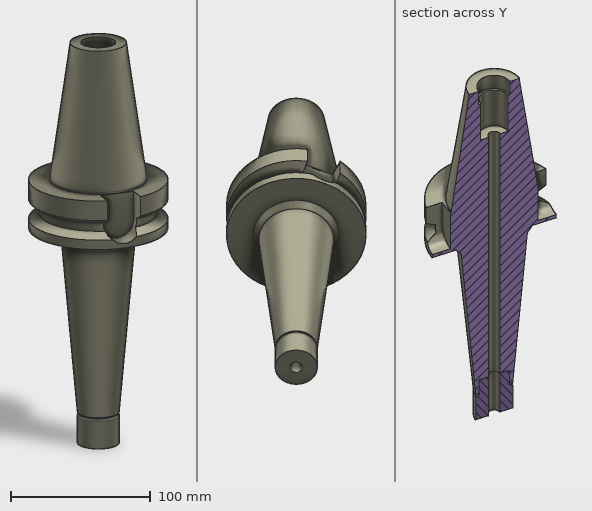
import cadquery as cq

TOTAL_HEIGHT = 301.8
GAUGE_Z = 200.0
FLANGE_TOP_Z = 198.5
GROOVE_CENTER_Z = 176.5
FLANGE_BOTTOM_Z = 162.0
COLLAR_HEIGHT = 5.0
NOSE_HEIGHT = 22.5
NOSE_GAP = 1.0

TAPER_SMALL_RADIUS = 20.2
TAPER_LARGE_RADIUS = 34.7
FLANGE_RADIUS = 100.0 / 2
GROOVE_RADIUS = 42.5
COLLAR_RADIUS = 30.8
ARBOR_TOP_RADIUS = 27.0
NOSE_RADIUS = 15.0
NOSE_CHAMFER_HEIGHT = 1.8
NOSE_CHAMFER_WIDTH = 0.3

GROOVE_FLOOR_WIDTH = 6.3
GROOVE_MOUTH_WIDTH = 14.8

SLOT_WIDTH = 25.7
SLOT_FLOOR_X = 35.3
SLOT_BOTTOM_Z = 165.5

STUB_RADIUS = 12.0
STUB_LENGTH = 12.0

BORE_RADIUS = 12.5
BORE_DEPTH = 12.0
BORE_STEP_RADIUS = 11.0
BORE_STEP_DEPTH = 45.3
COOLANT_RADIUS = 4.5

HOLDER_BOTTOM_Z = NOSE_HEIGHT + NOSE_GAP
STUB_TOP_Z = HOLDER_BOTTOM_Z + STUB_LENGTH


def upright_cylinder(radius, bottom_z, top_z):
    """Cylinder on the spindle axis between two heights."""
    return cq.Workplane("XY").workplane(offset=bottom_z).circle(radius).extrude(top_z - bottom_z)


def make_holder_blank():
    """Turned outside of the holder: arbor, gripper flange and spindle taper."""
    floor_half = GROOVE_FLOOR_WIDTH / 2
    mouth_half = GROOVE_MOUTH_WIDTH / 2
    profile = [
        (0, HOLDER_BOTTOM_Z),
        (NOSE_RADIUS, HOLDER_BOTTOM_Z),
        (ARBOR_TOP_RADIUS, FLANGE_BOTTOM_Z - COLLAR_HEIGHT),
        (COLLAR_RADIUS, FLANGE_BOTTOM_Z),
        (FLANGE_RADIUS, FLANGE_BOTTOM_Z),
        (FLANGE_RADIUS, GROOVE_CENTER_Z - mouth_half),
        (GROOVE_RADIUS, GROOVE_CENTER_Z - floor_half),
        (GROOVE_RADIUS, GROOVE_CENTER_Z + floor_half),
        (FLANGE_RADIUS, GROOVE_CENTER_Z + mouth_half),
        (FLANGE_RADIUS, FLANGE_TOP_Z),
        (TAPER_LARGE_RADIUS, FLANGE_TOP_Z),
        (TAPER_LARGE_RADIUS, GAUGE_Z),
        (TAPER_SMALL_RADIUS, TOTAL_HEIGHT),
        (0, TOTAL_HEIGHT),
    ]
    return cq.Workplane("XZ").polyline(profile).close().revolve(360, (0, 0, 0), (0, 1, 0))


def make_drive_slot(side):
    """Cutter for one round-bottomed drive slot; side is -1 or +1 along X."""
    slot_radius = SLOT_WIDTH / 2
    center_z = SLOT_BOTTOM_Z + slot_radius
    return (
        cq.Workplane("YZ")
        .workplane(offset=side * SLOT_FLOOR_X)
        .moveTo(-slot_radius, FLANGE_TOP_Z)
        .lineTo(-slot_radius, center_z)
        .threePointArc((0, SLOT_BOTTOM_Z), (slot_radius, center_z))
        .lineTo(slot_radius, FLANGE_TOP_Z)
        .close()
        .extrude(side * FLANGE_RADIUS)
    )


def make_holder():
    """Holder with drive slots, stepped bore and a seat for the nose piece."""
    holder = make_holder_blank()
    for side in (-1, 1):
        holder = holder.cut(make_drive_slot(side))
    bore = upright_cylinder(BORE_RADIUS, TOTAL_HEIGHT - BORE_DEPTH, TOTAL_HEIGHT)
    bore_step = upright_cylinder(BORE_STEP_RADIUS, TOTAL_HEIGHT - BORE_STEP_DEPTH, TOTAL_HEIGHT)
    coolant_hole = upright_cylinder(COOLANT_RADIUS, HOLDER_BOTTOM_Z, TOTAL_HEIGHT)
    seat = upright_cylinder(STUB_RADIUS, HOLDER_BOTTOM_Z, STUB_TOP_Z)
    return holder.cut(bore).cut(bore_step).cut(coolant_hole).cut(seat)


def make_nose():
    """Nose piece: a chamfered cylinder with a stub that fills the holder seat."""
    body = upright_cylinder(NOSE_RADIUS, 0, NOSE_HEIGHT)
    body = body.faces(">Z").chamfer(NOSE_CHAMFER_HEIGHT, NOSE_CHAMFER_WIDTH)
    stub = upright_cylinder(STUB_RADIUS, NOSE_HEIGHT, STUB_TOP_Z)
    coolant_hole = upright_cylinder(COOLANT_RADIUS, 0, STUB_TOP_Z)
    return body.union(stub).cut(coolant_hole)


holder = make_holder()
nose = make_nose()
result = cq.Compound.makeCompound([holder.val(), nose.val()])